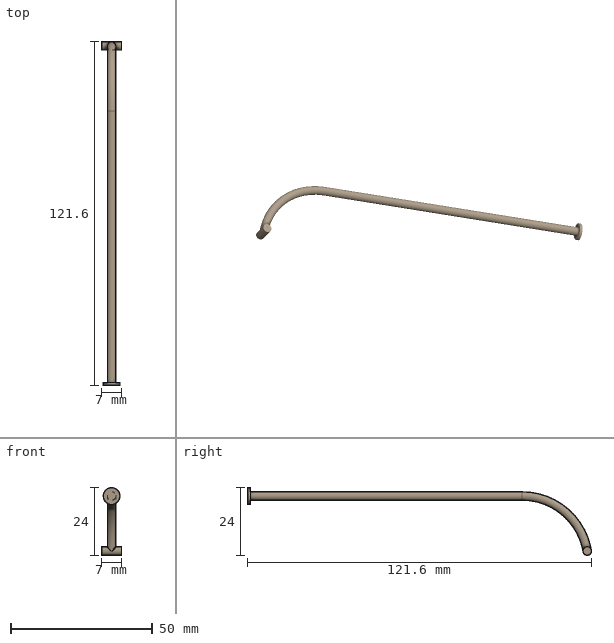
import cadquery as cq
import math

total_length = 121.6
rod_diameter = 3.0
head_diameter = 6.0
head_thickness = 1.0
pin_diameter = 3.0
pin_length = 7.0
straight_length = 97.1
bend_drop = 19.5

bend_run = total_length - pin_diameter / 2 - straight_length
bend_angle = 2 * math.atan2(bend_drop, bend_run)
bend_radius = bend_run / math.sin(bend_angle)


def cylinder_along(direction, start, diameter, length):
    """Solid cylinder growing from its start point along a direction."""
    return cq.Workplane(
        cq.Solid.makeCylinder(diameter / 2, length, cq.Vector(*start), cq.Vector(*direction))
    )


def bent_end():
    """Round bar bent downward about an axis parallel to X."""
    return (
        cq.Workplane("XZ", origin=(0, straight_length, 0))
        .circle(rod_diameter / 2)
        .revolve(math.degrees(bend_angle), (-1.2, -bend_radius), (-2.4, -bend_radius))
    )


head = cylinder_along((0, 1, 0), (0, 0, 0), head_diameter, head_thickness)
rod = cylinder_along((0, 1, 0), (0, 0, 0), rod_diameter, straight_length)

pin_start = (-pin_length / 2, straight_length + bend_run, -bend_drop)
pin = cylinder_along((1, 0, 0), pin_start, pin_diameter, pin_length)

result = head.union(rod).union(bent_end()).union(pin)